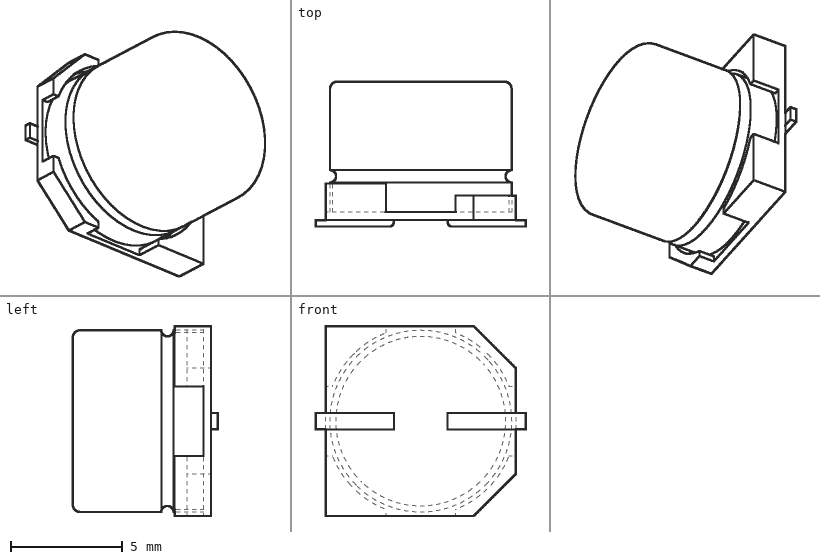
import cadquery as cq

overall_length = 9.4
overall_depth = 6.5

lead_thickness = 0.3
lead_width = 0.73
lead_length = 3.5
lead_fillet = 0.21

base_side = 8.5
base_back = lead_thickness
corner_chamfer = 1.88
floor_thickness = 0.35
seat_y = base_back + floor_thickness
tall_post_height = 1.64
low_post_height = 1.09
notch_width = 3.11
bore_diameter = 8.5

can_diameter = 8.14
can_radius = can_diameter / 2
rim_fillet = 0.34
groove_radius = 0.27
groove_y = 2.26


def block(x_size, y_size, z_size, x_center, y_start):
    """Box centred on Z = 0 that grows toward +Y from y_start."""
    box = cq.Workplane("XY").box(x_size, y_size, z_size, centered=(True, False, True))
    return box.translate((x_center, y_start, 0))


def make_base():
    """Square base with two chamfered corners, four corner posts and a round bore."""
    base = block(base_side, tall_post_height, base_side, 0, base_back)
    base = base.edges("|Y and >X").chamfer(corner_chamfer)

    low_top = base_back + low_post_height
    base = base.cut(block(base_side / 2, tall_post_height, base_side, base_side / 4, low_top))

    base = base.cut(block(base_side, tall_post_height, notch_width, 0, seat_y))
    base = base.cut(block(notch_width, tall_post_height, base_side, 0, seat_y))

    seat = cq.Workplane("XZ", origin=(0, seat_y, 0))
    return base.cut(seat.circle(bore_diameter / 2).extrude(-tall_post_height))


def make_can():
    """Round can with a rounded rim and a half-round groove near the base."""
    profile = (
        cq.Workplane("XY")
        .moveTo(0, seat_y)
        .lineTo(can_radius, seat_y)
        .lineTo(can_radius, groove_y - groove_radius)
        .threePointArc(
            (can_radius - groove_radius, groove_y),
            (can_radius, groove_y + groove_radius),
        )
        .lineTo(can_radius, overall_depth - rim_fillet)
        .radiusArc((can_radius - rim_fillet, overall_depth), -rim_fillet)
        .lineTo(0, overall_depth)
        .close()
    )
    return profile.revolve(360, (0, 0, 0), (0, 1, 0))


def make_lead(side):
    """Flat lead under the base; side is -1 or +1 along X."""
    center_x = side * (overall_length - lead_length) / 2
    lead = block(lead_length, lead_thickness, lead_width, center_x, 0)
    inner_end = lead.faces(">X" if side < 0 else "<X")
    return inner_end.edges("<Y").fillet(lead_fillet)


base = make_base()
can = make_can()
leads = [make_lead(side) for side in (-1, 1)]

result = cq.Compound.makeCompound([base.val(), can.val(), *[lead.val() for lead in leads]])